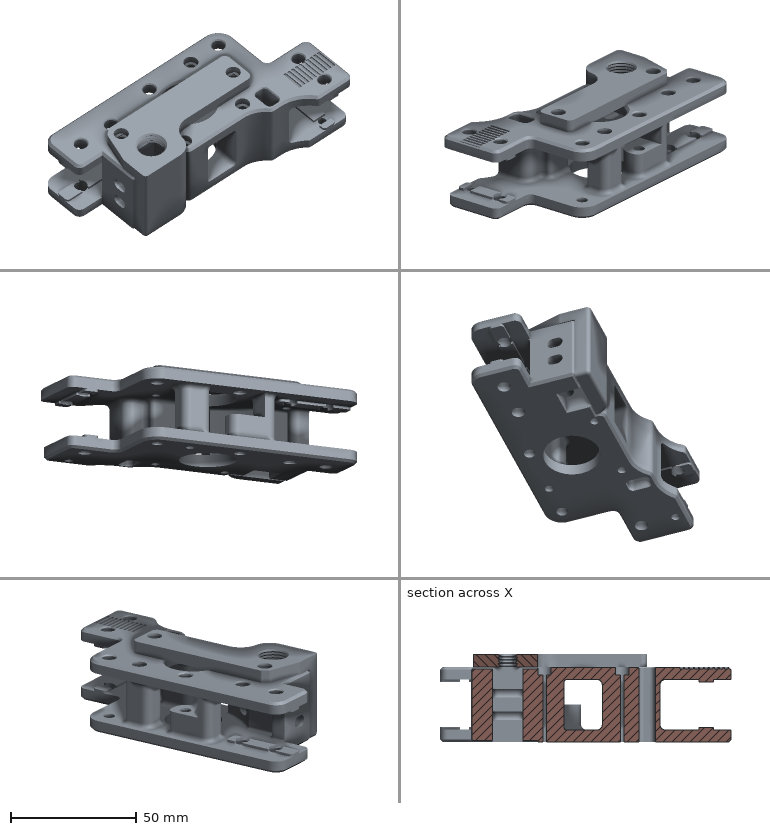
import cadquery as cq
import math

plate_thickness = 5.0
plate_gap = 20.0
frame_height = 2 * plate_thickness + plate_gap
frame_middle = frame_height / 2
arm_thickness = 5.1
cut_margin = 1.2
column_overshoot = 11.6
slab_overshoot = 34.8

length = 116.0
upper_tab_right = 56.0
lower_tab_right = 53.4
tab_left = 28.1
tab_shoulder_y = 94.7
foot_right = 21.9
notch_y = 12.4
leg_face_x = 40.6
leg_notch_y = 38.0
plate_right = 43.8
bulge_right = 49.0
waist_end_y = 67.7
waist_middle = (45.0, 73.8)
waist_top = (48.1, 78.2)
bulge_round_middle = (48.7, 79.0)
bulge_bottom_y = 80.0
bulge_top_y = 84.0
flank_radius = 16.2
edge_chamfer = 1.0
tab_corner_radius = 2.9
tab_flank_radius = 1.7
shoulder_radius = 7.3
foot_corner_radius = 5.2

column_left = 3.0
column_right = 13.8
column_radius = 3.2
column_fillet = 2.0
wall_fillet = 1.0
step_back_radius = 6.0
rear_column_y = (65.2, 77.6)
step_column_y = (36.0, 56.3)
step_y = 41.5
step_z = 15.0
right_column_left = 30.6
right_column_front = 64.5
right_column_back = 78.3
right_column_back_radius = 1.9
right_column_inner_radius = 2.3

window_x = (37.0, 46.9)
window_y = (79.3, 85.6)
window_radius = 2.0
window_wall = 2.1
window_chamfer = 0.5
window_rim_chamfer = 0.459

wall_left = 21.8
wall_back_y = 19.8
wall_radius = 3.1
block_left = 26.5
block_side_end_y = 32.6
block_back_y = 49.4
block_back_left = 36.3
block_arc_middle = (33.0, 41.8)
shaft_left = 29.8
shaft_y = (21.0, 33.0)
slot_x = (29.2, 35.7)
slot_width = 4.6
slot_offset_z = 4.5
adjuster_hole_x = 30.9
adjuster_diameter = 4.0

motor_x = 23.0
motor_y = 57.1
motor_pitch = 31.0
bore_radius = 11.5
screw_diameter = 3.5
screw_head_diameter = 6.0
screw_head_depth = 3.0

mount_diameter = 5.5
mount_chamfer = 0.5
pilot_diameter = 4.6
left_hole_x = motor_x - motor_pitch / 2
corner_hole_y = 87.1
step_hole_y = 50.3
foot_hole_x = 12.0
foot_hole_y = (9.7, 25.9)
tab_hole_y = 106.0
tab_hole_x = (34.2, 49.8)
lower_tab_hole_x = 48.7
lower_tab_hole_diameter = 3.5

pad_width = 6.0
pad_height = 1.0
pad_corner_radius = 1.4
pad_gap = 3.5
foot_pad_end_y = 31.8

belt_groove_count = 11
belt_pitch = 2.0
belt_groove_width = 1.3
belt_groove_depth = 0.7
belt_x = (37.1, 46.9)
belt_start_y = 95.6

arm_left = 16.9
arm_right = 33.4
arm_back_y = 82.6
arm_back_radius = 2.5
arm_front_y = 13.1
arm_side_end_y = 20.3
arm_nose = (19.1, 17.5)
arm_nose_radius = 1.2
arm_slope_end_x = 34.1
arm_slope_radius = 2.3
arm_curve_join = (40.6, 38.9)
arm_neck_middle = (35.5, 41.4)
arm_neck_end_y = 46.7
leg_right = 47.0
leg_side_end_y = 32.0
leg_shoulder_middle = (45.0, 36.7)
leg_corner_radius = 1.6
leg_bottom_fillet = 1.5
thread_x = 35.0
thread_y = 26.9
thread_minor_radius = 5.74
thread_major_radius = 6.32
thread_turns = 4
arm_screw_layer = 0.3
arm_screws = ((26.6, 78.2, True), (22.4, 22.2, False))


def block(x_range, y_range, z_range):
    """Box between two corner coordinates on each axis."""
    sides = [high - low for low, high in (x_range, y_range, z_range)]
    return cq.Workplane("XY").box(*sides, centered=False).translate((x_range[0], y_range[0], z_range[0]))


def cylinder(x, y, diameter, z_range):
    """Vertical cylinder."""
    return cq.Workplane("XY", (x, y, z_range[0])).circle(diameter / 2).extrude(z_range[1] - z_range[0])


def fillet_corners(body, corners, middle_z):
    """Round the vertical edge nearest to each (x, y) by its own radius."""
    for x, y, radius in corners:
        nearest = cq.selectors.NearestToPointSelector((x, y, middle_z))
        body = body.edges("|Z").edges(nearest).fillet(radius)
    return body


def countersink(x, y, diameter, chamfer):
    """Cone that breaks the edge of a hole in the top face of the frame."""
    cone = cq.Solid.makeCone(diameter / 2, diameter / 2 + chamfer, chamfer)
    return cq.Workplane(cone.translate(cq.Vector(x, y, frame_height - chamfer)))


def plate_prism(tab_right, z_range):
    """Plate outline extruded over a height; the tab reaches out to tab_right."""
    flank_rise = math.sqrt(flank_radius**2 - (flank_radius - (tab_right - bulge_right)) ** 2)
    flank_angle = math.asin(flank_rise / flank_radius) / 2
    flank_middle = (
        bulge_right + flank_radius * (1 - math.cos(flank_angle)),
        bulge_top_y + flank_radius * math.sin(flank_angle),
    )
    prism = (
        cq.Workplane("XY", (0, 0, z_range[0]))
        .moveTo(0, 0)
        .lineTo(foot_right, 0)
        .lineTo(foot_right, notch_y)
        .lineTo(leg_face_x, notch_y)
        .lineTo(leg_face_x, leg_notch_y)
        .lineTo(plate_right, leg_notch_y)
        .lineTo(plate_right, waist_end_y)
        .threePointArc(waist_middle, waist_top)
        .threePointArc(bulge_round_middle, (bulge_right, bulge_bottom_y))
        .lineTo(bulge_right, bulge_top_y)
        .threePointArc(flank_middle, (tab_right, bulge_top_y + flank_rise))
        .lineTo(tab_right, length)
        .lineTo(tab_left, length)
        .lineTo(tab_left, tab_shoulder_y)
        .lineTo(0, tab_shoulder_y)
        .close()
        .extrude(z_range[1] - z_range[0])
    )
    corners = (
        (0, 0, foot_corner_radius),
        (foot_right, 0, tab_corner_radius),
        (leg_face_x, notch_y, edge_chamfer),
        (plate_right, leg_notch_y, tab_corner_radius),
        (tab_right, bulge_top_y + flank_rise, tab_flank_radius),
        (tab_right, length, tab_corner_radius),
        (tab_left, length, tab_corner_radius),
        (tab_left, tab_shoulder_y, tab_corner_radius),
        (0, tab_shoulder_y, shoulder_radius),
    )
    return fillet_corners(prism, corners, sum(z_range) / 2)


def make_envelope():
    """Outer shape of the frame, chamfered along its top and bottom rims."""
    lower = plate_prism(lower_tab_right, (0, frame_middle)).faces("<Z").chamfer(edge_chamfer)
    upper = plate_prism(upper_tab_right, (frame_middle, frame_height)).faces(">Z").chamfer(edge_chamfer)
    return lower.union(upper)


def column(x_range, y_range, radius):
    """Rounded column that fills the gap between the plates."""
    z_range = (plate_thickness, plate_thickness + plate_gap)
    return block(x_range, y_range, z_range).edges("|Z").fillet(radius)


def make_columns():
    """All columns; those on the right overshoot the plate outline."""
    beyond = upper_tab_right + column_overshoot
    gap = (plate_thickness, plate_thickness + plate_gap)
    rear = column((column_left, column_right), rear_column_y, column_radius)
    step = block((column_left, column_right), step_column_y, gap)
    step_corners = (
        (column_left, step_column_y[0], column_radius),
        (column_right, step_column_y[0], column_radius),
        (column_left, step_column_y[1], column_radius),
        (column_right, step_column_y[1], step_back_radius),
    )
    step = fillet_corners(step, step_corners, frame_middle)
    right = block((right_column_left, beyond), (right_column_front, right_column_back), gap)
    window_post = block(
        (window_x[0] - window_wall, beyond),
        (window_y[0] - window_wall, window_y[1] + window_wall),
        gap,
    )
    right = right.union(window_post)
    right_corners = (
        (right_column_left, right_column_front, column_radius),
        (right_column_left, right_column_back, right_column_back_radius),
        (window_x[0] - window_wall, right_column_back, right_column_inner_radius),
        (window_x[0] - window_wall, window_y[1] + window_wall, window_radius + window_wall),
    )
    right = fillet_corners(right, right_corners, frame_middle)
    wall = column((wall_left, beyond), (notch_y - 2 * wall_radius, wall_back_y), wall_radius)
    body = (
        cq.Workplane("XY", (0, 0, plate_thickness))
        .moveTo(block_left, notch_y)
        .lineTo(block_left, block_side_end_y)
        .threePointArc(block_arc_middle, (block_back_left, block_back_y))
        .lineTo(beyond, block_back_y)
        .lineTo(beyond, notch_y)
        .close()
        .extrude(plate_gap)
    )
    front = wall.union(body)
    return [rear, step, right, front]


def make_core():
    """Slabs larger than the plates, joined by columns with filleted ends; the wall has a smaller fillet."""
    x_range = (-slab_overshoot, upper_tab_right + slab_overshoot)
    y_range = (-slab_overshoot, length + slab_overshoot)
    upper_plate_z = frame_height - plate_thickness
    core = block(x_range, y_range, (0, plate_thickness))
    core = core.union(block(x_range, y_range, (upper_plate_z, frame_height)))
    for post in make_columns():
        core = core.union(post)
    between = column_right + cut_margin
    beyond = upper_tab_right + column_overshoot + cut_margin
    for z in (plate_thickness, upper_plate_z):
        low = z - cut_margin / 10
        high = z + cut_margin / 10
        front_ends = cq.selectors.BoxSelector((between, 0, low), (beyond, motor_y, high))
        core = core.edges(front_ends).fillet(wall_fillet)
        left_ends = cq.selectors.BoxSelector((0, 0, low), (between, length, high))
        core = core.edges(left_ends).fillet(column_fillet)
        right_ends = cq.selectors.BoxSelector((between, motor_y, low), (beyond, length, high))
        core = core.edges(right_ends).fillet(column_fillet)
    front_space = block(x_range, (-slab_overshoot, notch_y), (plate_thickness, upper_plate_z))
    return core.cut(front_space)


def pad_bars(tab_right):
    """Flat clamp bars: one along the foot, one across the tab."""
    half = pad_width / 2
    foot = block((foot_hole_x - half, foot_hole_x + half), (0, foot_pad_end_y), (0, pad_height))
    tab = block((tab_left, tab_right), (tab_hole_y - half, tab_hole_y + half), (0, pad_height))
    foot = foot.edges("|Z").fillet(pad_corner_radius)
    tab = tab.edges("|Z").fillet(pad_corner_radius)
    return foot, tab


def make_pads(tab_right, right_hole_x):
    """Clamp bars interrupted by a gap at every hole."""
    foot, tab = pad_bars(tab_right)
    half = pad_gap / 2
    height = (-cut_margin, pad_height + cut_margin)
    for y in foot_hole_y:
        foot = foot.cut(block((0, foot_right), (y - half, y + half), height))
    for x in (tab_hole_x[0], right_hole_x):
        tab = tab.cut(block((x - half, x + half), (tab_shoulder_y, length), height))
    return foot.add(tab).combine()


def mount_holes():
    """Clear holes with a broken upper edge, and the smaller holes below some of them."""
    through = (-cut_margin, frame_height + cut_margin)
    upper = (step_z, frame_height + cut_margin)
    lower = (-cut_margin, step_z)
    both_plates = [(foot_hole_x, y) for y in foot_hole_y] + [(tab_hole_x[0], tab_hole_y)]
    stepped = [
        (left_hole_x, corner_hole_y, left_hole_x, pilot_diameter),
        (left_hole_x, step_hole_y, left_hole_x, pilot_diameter),
        (tab_hole_x[1], tab_hole_y, lower_tab_hole_x, lower_tab_hole_diameter),
    ]
    tools = []
    for x, y in both_plates:
        tools.append(cylinder(x, y, mount_diameter, through))
        tools.append(countersink(x, y, mount_diameter, mount_chamfer))
    for x, y, lower_x, lower_diameter in stepped:
        tools.append(cylinder(x, y, mount_diameter, upper))
        tools.append(countersink(x, y, mount_diameter, mount_chamfer))
        tools.append(cylinder(lower_x, y, lower_diameter, lower))
    return tools


def motor_cuts():
    """Central bore and three counterbored motor screw holes."""
    through = (-cut_margin, frame_height + cut_margin)
    half = motor_pitch / 2
    lower_bore = (-cut_margin, plate_thickness + column_fillet)
    upper_bore = (frame_height - plate_thickness - column_fillet, frame_height + cut_margin)
    tools = [
        cylinder(motor_x, motor_y, 2 * bore_radius, lower_bore),
        cylinder(motor_x, motor_y, 2 * bore_radius, upper_bore),
        countersink(motor_x, motor_y, 2 * bore_radius, edge_chamfer),
    ]
    head = (frame_height - screw_head_depth, frame_height + cut_margin)
    for side_x, side_y in ((-1, 1), (1, 1), (1, -1)):
        x = motor_x + side_x * half
        y = motor_y + side_y * half
        tools.append(cylinder(x, y, screw_diameter, through))
        tools.append(cylinder(x, y, screw_head_diameter, head))
    return tools


def window_cut():
    """Rounded window through both plates with a broken upper edge."""
    window = block(window_x, window_y, (0, frame_height)).edges("|Z").fillet(window_radius)
    rim = block(
        (window_x[0] - window_chamfer, window_x[1] + window_chamfer),
        (window_y[0] - window_chamfer, window_y[1] + window_chamfer),
        (frame_height - window_chamfer, frame_height),
    )
    rim = rim.edges("|Z").fillet(window_radius + window_chamfer)
    rim = rim.faces("<Z").chamfer(window_rim_chamfer)
    return [window, rim]


def shaft_and_slots():
    """Shaft beside the leg, two adjusting slots into it and round holes out of its back."""
    through = (-cut_margin, frame_height + cut_margin)
    tools = [block((shaft_left, leg_face_x), shaft_y, through)]
    slot_middle_x = sum(slot_x) / 2
    for side in (-1, 1):
        z = frame_middle + side * slot_offset_z
        slot = (
            cq.Workplane("XZ", (slot_middle_x, notch_y - cut_margin, z))
            .slot2D(slot_x[1] - slot_x[0], slot_width)
            .extrude(-(shaft_y[0] - notch_y + 2 * cut_margin))
        )
        hole = (
            cq.Workplane("XZ", (adjuster_hole_x, shaft_y[0], z))
            .circle(adjuster_diameter / 2)
            .extrude(-(block_back_y - shaft_y[0]))
        )
        tools += [slot, hole]
    return tools


def belt_grooves():
    """Row of grooves across the tab that grip a toothed belt."""
    z_range = (frame_height - belt_groove_depth, frame_height + cut_margin)
    tools = []
    for index in range(belt_groove_count):
        y = belt_start_y + index * belt_pitch
        tools.append(block(belt_x, (y, y + belt_groove_width), z_range))
    return tools


def arm_pilot_holes():
    """Holes in the upper plate below the screws of the arm."""
    z_range = (frame_height - plate_thickness, frame_height)
    return [cylinder(x, y, screw_diameter, z_range) for x, y, along_x in arm_screws]


def make_frame():
    """Both plates, the columns, the pads and all cuts as one body."""
    upper_plate_z = frame_height - plate_thickness
    lower_pads = make_pads(lower_tab_right, lower_tab_hole_x).translate((0, 0, plate_thickness))
    upper_pads = make_pads(upper_tab_right, tab_hole_x[1]).translate((0, 0, upper_plate_z - pad_height))
    frame = make_core().intersect(make_envelope())
    frame = frame.union(lower_pads)
    frame = frame.union(upper_pads)
    step_space = block(
        (0, column_right + column_fillet),
        (step_y, step_column_y[1] + column_fillet),
        (step_z, upper_plate_z),
    )
    frame = frame.cut(step_space)
    tools = mount_holes() + motor_cuts() + window_cut()
    tools += shaft_and_slots() + belt_grooves() + arm_pilot_holes()
    for tool in tools:
        frame = frame.cut(tool)
    return frame


def arm_prism(z_range):
    """Arm outline extruded over a height."""
    prism = (
        cq.Workplane("XY", (0, 0, z_range[0]))
        .moveTo(*arm_nose)
        .lineTo(arm_slope_end_x, arm_front_y)
        .lineTo(leg_right, arm_front_y)
        .lineTo(leg_right, leg_side_end_y)
        .threePointArc(leg_shoulder_middle, arm_curve_join)
        .threePointArc(arm_neck_middle, (arm_right, arm_neck_end_y))
        .lineTo(arm_right, arm_back_y)
        .lineTo(arm_left, arm_back_y)
        .lineTo(arm_left, arm_side_end_y)
        .close()
        .extrude(z_range[1] - z_range[0])
    )
    corners = (
        (arm_right, arm_back_y, arm_back_radius),
        (arm_left, arm_back_y, arm_back_radius),
        (arm_left, arm_side_end_y, arm_nose_radius),
        (*arm_nose, arm_nose_radius),
        (arm_slope_end_x, arm_front_y, arm_slope_radius),
        (leg_right, arm_front_y, leg_corner_radius),
    )
    return fillet_corners(prism, corners, sum(z_range) / 2)


def make_leg():
    """Leg that hangs from the arm beside the frame down to its underside."""
    space = block((leg_face_x, leg_right), (arm_front_y, leg_notch_y), (0, frame_height))
    leg = arm_prism((0, frame_height)).intersect(space)
    rim = leg.faces("<Z").edges("<Y or >X")
    return rim.fillet(leg_bottom_fillet)


def thread_cut():
    """Threaded hole made of stacked V-shaped rings."""
    half_pitch = arm_thickness / thread_turns / 2
    profile = [(0, 0)]
    for index in range(2 * thread_turns + 1):
        radius = thread_major_radius if index % 2 == 0 else thread_minor_radius
        profile.append((radius, index * half_pitch))
    profile.append((0, arm_thickness))
    ring = cq.Workplane("XZ").polyline(profile).close().revolve(360, (0, 0), (0, 1))
    return ring.translate((thread_x, thread_y, frame_height))


def arm_screw_cuts():
    """Counterbored screw holes; below the head are a cross slot, a square and a round hole."""
    top = frame_height + arm_thickness
    head_z = top - screw_head_depth
    half = screw_diameter / 2
    tools = []
    for x, y, along_x in arm_screws:
        head = cylinder(x, y, screw_head_diameter, (head_z, top))
        slot_half = (screw_head_diameter, half) if along_x else (half, screw_head_diameter)
        slot = block(
            (x - slot_half[0], x + slot_half[0]),
            (y - slot_half[1], y + slot_half[1]),
            (head_z - arm_screw_layer, head_z),
        )
        slot = slot.intersect(cylinder(x, y, screw_head_diameter, (frame_height, top)))
        square = block((x - half, x + half), (y - half, y + half), (head_z - 2 * arm_screw_layer, head_z))
        tools += [head, slot, square, cylinder(x, y, screw_diameter, (frame_height, top))]
    return tools


def make_arm():
    """Arm on top of the frame with its leg, threaded hole and screw holes."""
    arm = arm_prism((frame_height, frame_height + arm_thickness)).union(make_leg())
    for tool in [thread_cut()] + arm_screw_cuts():
        arm = arm.cut(tool)
    return arm


frame = make_frame()
clamp_arm = make_arm()
result = cq.Compound.makeCompound([frame.val(), clamp_arm.val()])